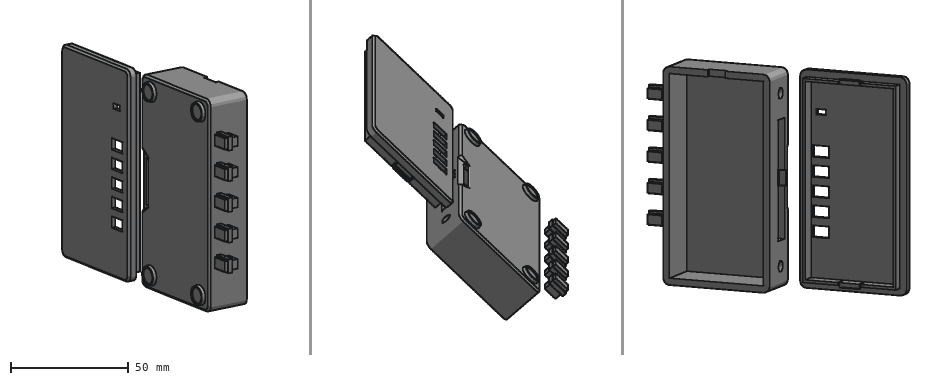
import cadquery as cq

TOTAL_WIDTH = 121.1
TOTAL_DEPTH = 22.0
CASE_WIDTH = 50.0
CASE_LENGTH = 95.0
CORNER_RADIUS = 3.1
FRONT_CHAMFER = 1.0

LID_LEFT = -TOTAL_WIDTH / 2
LID_CENTER_X = LID_LEFT + CASE_WIDTH / 2
LID_THICKNESS = 4.0
LID_PLATE = 2.0
LIP_INSET = 3.1
LIP_HEIGHT = 4.2
LIP_WALL = 1.2
TAB_WIDTH = 9.2
TAB_SLOT_WIDTH = 0.7
TAB_SLOT_DEPTH = 3.1
CATCH_REACH = 1.1
CATCH_HEIGHT = 1.6
CATCH_CHAMFER = 0.42

WINDOW_X = LID_LEFT + 41.3
WINDOW_WIDTH = 7.9
WINDOW_HEIGHT = 5.1
WINDOW_COUNT = 5
WINDOW_PITCH = 8.7
WINDOW_CENTER_Z = -5.6
LIGHT_X = LID_LEFT + 41.1
LIGHT_Z = 29.1
LIGHT_WIDTH = 4.5
LIGHT_HEIGHT = 2.4

BOX_LEFT = LID_LEFT + 56.1
BOX_CENTER_X = BOX_LEFT + CASE_WIDTH / 2
BOX_DEPTH = 20.0
BOX_FRONT = TOTAL_DEPTH - BOX_DEPTH
BOX_WALL = 3.0
BOX_FLOOR = 2.0
PRY_NOTCH_WIDTH = 8.2
PRY_NOTCH_DEPTH = 1.6

FOOT_DIAMETER = 9.0
FOOT_TIP_DIAMETER = 8.2
FOOT_HEIGHT = 1.6
FOOT_RECESS_DIAMETER = 7.0
FOOT_RECESS_DEPTH = 0.5
FOOT_EDGE_X = 7.0
FOOT_EDGE_Z = 6.5

PORT_LENGTH = 52.7
PORT_FRONT = 6.7
PORT_BACK = 13.2
PORT_KEY_LENGTH = 6.8
PORT_KEY_FRONT = 5.5
SIDE_HOLE_DIAMETER = 4.6
SIDE_HOLE_Y = 10.7
SIDE_HOLE_SPACING = 75.2

RECESS_REACH = 5.7
RECESS_DEPTH = 1.6
RECESS_BEVEL_DEPTH = 1.1
RECESS_INNER_LENGTH = 21.9
RECESS_EDGE_FLOOR_LENGTH = 26.4
RECESS_EDGE_BEVEL_LENGTH = 28.1
RECESS_EDGE_RIM_LENGTH = 30.3
SLOT_WIDTH = 2.0
SLOT_LENGTH = 21.1
SLOT_X = BOX_LEFT + 3.9

BUTTON_COUNT = 5
BUTTON_PITCH = 13.7
BUTTON_CENTER_Z = 4.6
FLANGE_WIDTH = 8.5
FLANGE_LENGTH = 6.2
FLANGE_DEPTH = 2.0
CAP_WIDTH = 7.6
CAP_LENGTH = 5.0
CAP_DEPTH = 1.6
STEM_WIDTH = 6.7
STEM_LENGTH = 4.2
STEM_DEPTH = 3.4
BUTTON_X = TOTAL_WIDTH / 2 - FLANGE_WIDTH / 2


def block(center_x, center_z, width, length, front, back):
    """Box centred in X and Z, reaching from front to back in Y."""
    return (
        cq.Workplane("XY")
        .box(width, back - front, length, centered=(True, False, True))
        .translate((center_x, front, center_z))
    )


def case_shell(center_x, front, back):
    """Block with rounded corners and a chamfered front rim."""
    shell = block(center_x, 0, CASE_WIDTH, CASE_LENGTH, front, back)
    return shell.edges("|Y").fillet(CORNER_RADIUS).faces("<Y").edges().chamfer(FRONT_CHAMFER)


def row(count, pitch, center):
    """Evenly spaced places around a centre."""
    return [center + (i - (count - 1) / 2) * pitch for i in range(count)]


def catch(side):
    """Snap catch on the outside of the lip, at the +Z (1) or -Z (-1) end."""
    lip_face = CASE_LENGTH / 2 - LIP_INSET
    back = LID_THICKNESS + LIP_HEIGHT
    profile = [
        (back, lip_face - LIP_WALL),
        (back, lip_face + CATCH_REACH - CATCH_CHAMFER),
        (back - CATCH_CHAMFER, lip_face + CATCH_REACH),
        (back - CATCH_HEIGHT + CATCH_CHAMFER, lip_face + CATCH_REACH),
        (back - CATCH_HEIGHT, lip_face + CATCH_REACH - CATCH_CHAMFER),
        (back - CATCH_HEIGHT, lip_face - LIP_WALL),
    ]
    return (
        cq.Workplane("YZ")
        .polyline([(y, side * z) for y, z in profile])
        .close()
        .extrude(TAB_WIDTH / 2, both=True)
        .translate((LID_CENTER_X, 0, 0))
    )


def make_lid():
    """Shallow tray with a lip, spring tabs, catches and windows."""
    lip_back = LID_THICKNESS + LIP_HEIGHT
    lip_width = CASE_WIDTH - 2 * LIP_INSET
    lip_length = CASE_LENGTH - 2 * LIP_INSET
    lip = block(LID_CENTER_X, 0, lip_width, lip_length, LID_THICKNESS, lip_back)
    slot_offset = (TAB_WIDTH + TAB_SLOT_WIDTH) / 2
    for slot_x in (LID_CENTER_X - slot_offset, LID_CENTER_X + slot_offset):
        lip = lip.cut(block(slot_x, 0, TAB_SLOT_WIDTH, CASE_LENGTH, lip_back - TAB_SLOT_DEPTH, lip_back))

    lid = case_shell(LID_CENTER_X, 0, LID_THICKNESS).union(lip)
    for side in (-1, 1):
        lid = lid.union(catch(side))
    lid = lid.cut(
        block(LID_CENTER_X, 0, lip_width - 2 * LIP_WALL, lip_length - 2 * LIP_WALL, LID_PLATE, lip_back)
    )

    for z in row(WINDOW_COUNT, WINDOW_PITCH, WINDOW_CENTER_Z):
        lid = lid.cut(block(WINDOW_X, z, WINDOW_WIDTH, WINDOW_HEIGHT, 0, LID_PLATE))
    return lid.cut(block(LIGHT_X, LIGHT_Z, LIGHT_WIDTH, LIGHT_HEIGHT, 0, LID_PLATE))


def make_feet():
    """Four tapered feet, each with a round pad recess in its tip."""
    spacing_x = CASE_WIDTH - 2 * FOOT_EDGE_X
    spacing_z = CASE_LENGTH - 2 * FOOT_EDGE_Z
    base = FOOT_DIAMETER / 2
    tip = FOOT_TIP_DIAMETER / 2
    recess = FOOT_RECESS_DIAMETER / 2
    floor = FOOT_HEIGHT - FOOT_RECESS_DEPTH
    outline = [(0, 0), (base, 0), (tip, FOOT_HEIGHT), (recess, FOOT_HEIGHT), (recess, floor), (0, floor)]
    foot = (
        cq.Workplane("XY")
        .polyline([(radius, BOX_FRONT - height) for radius, height in outline])
        .close()
        .revolve(360, (0, 0), (0, 1))
    )
    feet = cq.Workplane("XY")
    for x in row(2, spacing_x, BOX_CENTER_X):
        for z in row(2, spacing_z, 0):
            feet = feet.add(foot.translate((x, 0, z)))
    return feet


def finger_recess():
    """Wedge that deepens toward the left edge and widens there, with bevelled side walls."""
    growth = 2
    inner_x = BOX_LEFT + RECESS_REACH
    left_x = inner_x - growth * RECESS_REACH
    edge_section = [
        (0, RECESS_EDGE_RIM_LENGTH),
        (RECESS_BEVEL_DEPTH, RECESS_EDGE_BEVEL_LENGTH),
        (RECESS_DEPTH, RECESS_EDGE_FLOOR_LENGTH),
    ]
    section = []
    for depth, edge_length in edge_section:
        length = RECESS_INNER_LENGTH + growth * (edge_length - RECESS_INNER_LENGTH)
        section.append((BOX_FRONT + growth * depth, length / 2))

    upper = [cq.Vector(left_x, y, z) for y, z in section]
    lower = [cq.Vector(left_x, y, -z) for y, z in section]
    upper_tip = cq.Vector(inner_x, BOX_FRONT, RECESS_INNER_LENGTH / 2)
    lower_tip = cq.Vector(inner_x, BOX_FRONT, -RECESS_INNER_LENGTH / 2)

    outlines = [
        [*upper, *reversed(lower)],
        [upper_tip, lower_tip, lower[0], upper[0]],
        [upper_tip, lower_tip, lower[-1], upper[-1]],
    ]
    for tip, side in ((upper_tip, upper), (lower_tip, lower)):
        for start, end in zip(side, side[1:]):
            outlines.append([tip, start, end])
    faces = [cq.Face.makeFromWires(cq.Wire.makePolygon(points, close=True)) for points in outlines]
    return cq.Workplane(cq.Solid.makeSolid(cq.Shell.makeShell(faces)))


def finger_slot():
    """Slot through the floor, with its right side relieved at 45 degrees toward the inside."""
    outline = cq.Workplane("XZ", origin=(SLOT_X, BOX_FRONT, 0)).slot2D(SLOT_LENGTH, SLOT_WIDTH, 90)
    straight = outline.extrude(-BOX_FLOOR)
    slanted = cq.Solid.extrudeLinear(outline.val(), [], cq.Vector(BOX_FLOOR, BOX_FLOOR, 0))
    return straight.union(cq.Workplane(slanted))


def make_box():
    """Box open at the back, with feet, a port and a finger recess."""
    cavity_width = CASE_WIDTH - 2 * BOX_WALL
    cavity_length = CASE_LENGTH - 2 * BOX_WALL
    cavity_front = BOX_FRONT + BOX_FLOOR
    wall_x = BOX_LEFT + BOX_WALL / 2

    box = case_shell(BOX_CENTER_X, BOX_FRONT, TOTAL_DEPTH)
    box = box.cut(block(BOX_CENTER_X, 0, cavity_width, cavity_length, cavity_front, TOTAL_DEPTH))
    top_wall_z = (CASE_LENGTH - BOX_WALL) / 2
    pry_front = TOTAL_DEPTH - PRY_NOTCH_DEPTH
    box = box.cut(block(BOX_CENTER_X, top_wall_z, PRY_NOTCH_WIDTH, BOX_WALL, pry_front, TOTAL_DEPTH))
    for foot in make_feet().vals():
        box = box.union(cq.Workplane(foot))

    box = box.cut(block(wall_x, 0, BOX_WALL, PORT_LENGTH, PORT_FRONT, PORT_BACK))
    box = box.cut(block(wall_x, 0, BOX_WALL, PORT_KEY_LENGTH, PORT_KEY_FRONT, PORT_FRONT))
    side_holes = (
        cq.Workplane("YZ", origin=(BOX_LEFT, 0, 0))
        .pushPoints([(SIDE_HOLE_Y, z) for z in row(2, SIDE_HOLE_SPACING, 0)])
        .circle(SIDE_HOLE_DIAMETER / 2)
        .extrude(BOX_WALL)
    )
    box = box.cut(side_holes)
    return box.cut(finger_recess()).cut(finger_slot())


def make_button(z):
    """Push button: cap in front, wider flange, stem behind."""
    flange_back = CAP_DEPTH + FLANGE_DEPTH
    cap = block(BUTTON_X, z, CAP_WIDTH, CAP_LENGTH, 0, CAP_DEPTH)
    flange = block(BUTTON_X, z, FLANGE_WIDTH, FLANGE_LENGTH, CAP_DEPTH, flange_back)
    stem = block(BUTTON_X, z, STEM_WIDTH, STEM_LENGTH, flange_back, flange_back + STEM_DEPTH)
    return cap.union(flange).union(stem)


lid = make_lid()
box = make_box()
buttons = [make_button(z) for z in row(BUTTON_COUNT, BUTTON_PITCH, BUTTON_CENTER_Z)]

result = cq.Compound.makeCompound([lid.val(), box.val(), *[button.val() for button in buttons]])